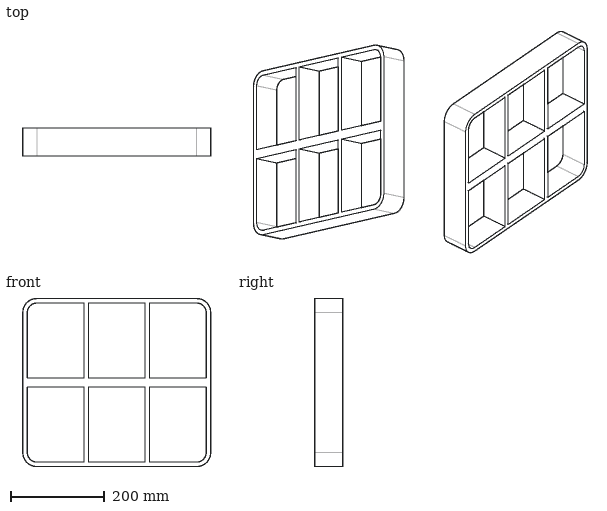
import cadquery as cq

columns = 3
rows = 2
window_width = 120.5
window_height = 159.5

wall = 10.0
crossbar = 20.0
depth = 60.0
outer_radius = 30.0
inner_radius = outer_radius - wall

column_pitch = window_width + wall
row_pitch = window_height + crossbar
inner_width = columns * window_width + (columns - 1) * wall
inner_height = rows * window_height + (rows - 1) * crossbar
outer_width = inner_width + 2 * wall
outer_height = inner_height + 2 * wall


def rounded_block(width, height, radius):
    """Block centred on the origin, with its four edges along Y rounded."""
    return cq.Workplane("XY").box(width, depth, height).edges("|Y").fillet(radius)


def window_grid():
    """All the rectangular windows, as solids running through the full depth."""
    return (
        cq.Workplane("XZ")
        .rarray(column_pitch, row_pitch, columns, rows)
        .rect(window_width, window_height)
        .extrude(depth / 2, both=True)
    )


openings = window_grid().intersect(rounded_block(inner_width, inner_height, inner_radius))

result = rounded_block(outer_width, outer_height, outer_radius).cut(openings)